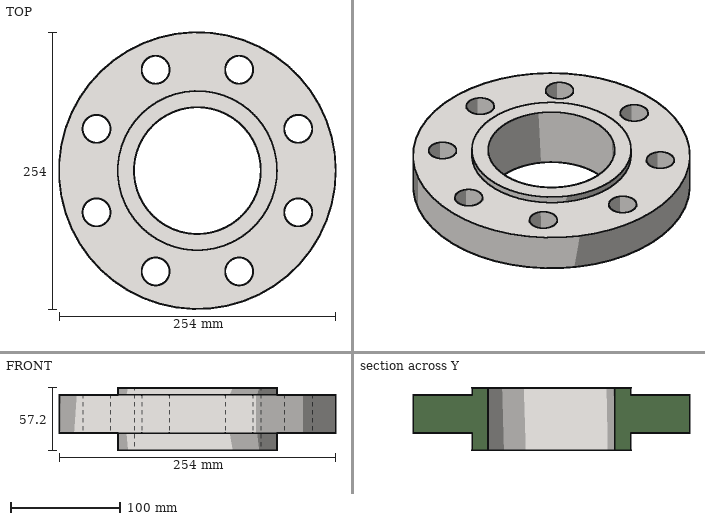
import cadquery as cq

flange_diameter = 254.0
flange_thickness = 35.0

hub_diameter = 146.0
total_height = 57.2
raised_face_height = 6.4
hub_height = total_height - flange_thickness - raised_face_height
bore_diameter = 116.0

bolt_count = 8
bolt_hole_diameter = 25.5
bolt_circle_diameter = 200.2
first_bolt_angle = 360 / bolt_count / 2

hub = cq.Workplane("XY").circle(hub_diameter / 2).extrude(total_height)
disc = (
    cq.Workplane("XY")
    .workplane(offset=hub_height)
    .circle(flange_diameter / 2)
    .extrude(flange_thickness)
)

bore = cq.Workplane("XY").circle(bore_diameter / 2).extrude(total_height)
bolt_holes = (
    cq.Workplane("XY")
    .polarArray(bolt_circle_diameter / 2, first_bolt_angle, 360, bolt_count)
    .circle(bolt_hole_diameter / 2)
    .extrude(total_height)
)

result = hub.union(disc).cut(bore).cut(bolt_holes)